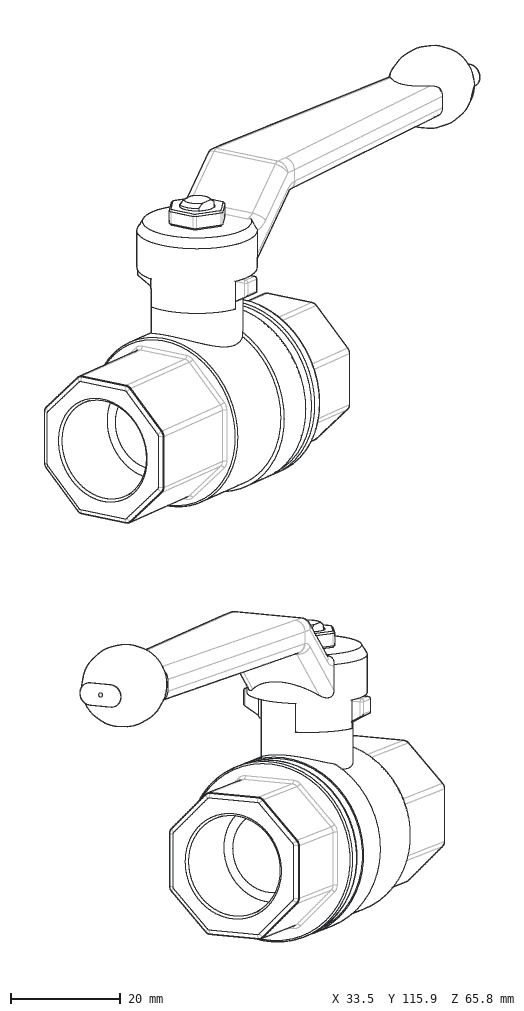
import cadquery as cq
import math


housing_length = 60.9
octagon_flats = 26.4
octagon_edge_radius = 1.4
end_chamfer = 0.5
octagon_root_radius = 0.6
flange_diameter = 33.5
groove_diameter = 33.0
barrel_diameter = 32.0
flange_rear = 15.5
groove_start = 13.5
groove_full = 12.9
groove_end = 10.7
flange_front = 3.7
barrel_front = -10.5
barrel_chamfer = 0.3
bore_diameter = 15.0
thread_diameter = 18.6
thread_depth = 15.0
thread_chamfer = 0.5
neck_diameter = 16.8
neck_top = 27.0

lug_reach = 12.2
lug_width = 3.7
lug_tip_bottom = 24.0
lug_root_bottom = 21.9
lug_root_radius = 1.0
lug_tip_radius = 0.5

stem_diameter = 6.5
stem_tip_diameter = 4.9
stem_flats = 4.2
stem_top = 40.0
stem_chamfer_height = 0.7

hub_diameter = 22.0
hub_bottom = 21.7
hub_top = 35.8
hub_chamfer_radial = 1.0
hub_chamfer_height = 1.7
skirt_bore_diameter = 18.0
skirt_slot_x = 2.9
skirt_slot_y = 3.0
arm_thickness = 6.1
arm_top = 44.2
arm_end = 70.2
arm_bend = 15.8
arm_taper_start = 18.6
arm_root_bottom = 27.7
arm_width_at_hub = 17.5
arm_width_at_end = 12.5
arm_edge_radius = 2.0
arm_bend_radius = 1.2
arm_root_radius = 2.3
knob_diameter = 15.0
knob_length = 19.7
knob_top = 49.05
knob_tip = 85.4
badge_width = 8.3
badge_height = 4.2
badge_thickness = 0.1

nut_flats = 9.8
nut_height = 3.0
nut_edge_radius = 0.7
nut_chamfer = 0.3


def cylinder(diameter, bottom, top):
    """Upright cylinder about the stem axis."""
    return cq.Workplane("XY").workplane(offset=bottom).circle(diameter / 2).extrude(top - bottom)


def bore_cylinder(diameter, start, end):
    """Cylinder about the bore axis, from one Y position to another."""
    return cq.Workplane("XZ").workplane(offset=-end).circle(diameter / 2).extrude(end - start)


def make_octagon_bar():
    across_corners = octagon_flats / math.cos(math.pi / 8)
    bar = (
        cq.Workplane("XZ")
        .transformed(rotate=(0, 0, 22.5))
        .polygon(8, across_corners)
        .extrude(housing_length / 2, both=True)
        .edges("|Y")
        .fillet(octagon_edge_radius)
    )
    for end in ("<Y", ">Y"):
        bar = bar.faces(end).chamfer(end_chamfer)
    return bar


def make_barrel():
    """Round middle of the housing: grooved flange at the rear, plain barrel in front."""
    flange_radius = flange_diameter / 2
    groove_radius = groove_diameter / 2
    barrel_radius = barrel_diameter / 2
    return (
        cq.Workplane("XY")
        .moveTo(0, flange_rear)
        .lineTo(flange_radius - barrel_chamfer, flange_rear)
        .lineTo(flange_radius, flange_rear - barrel_chamfer)
        .lineTo(flange_radius, groove_start)
        .lineTo(groove_radius, groove_full)
        .lineTo(groove_radius, groove_end)
        .lineTo(flange_radius, groove_end)
        .lineTo(flange_radius, flange_front)
        .lineTo(barrel_radius, flange_front)
        .lineTo(barrel_radius, barrel_front + barrel_chamfer)
        .lineTo(barrel_radius - barrel_chamfer, barrel_front)
        .lineTo(0, barrel_front)
        .close()
        .revolve(360, (0, 0, 0), (0, 1, 0))
    )


def is_octagon_root(edge):
    """True for the edges where the octagonal ends meet the end faces of the barrel."""
    y = edge.Center().y
    on_end_face = min(abs(y - flange_rear), abs(y - barrel_front)) < 0.01
    return on_end_face and edge.Length() < octagon_flats / 2


def make_lug():
    """Stop lug on the -X side of the neck, flared at its root, with a sloped underside."""
    neck_radius = neck_diameter / 2
    half_width = lug_width / 2
    flare_y = half_width + lug_root_radius
    flare_x = -math.sqrt((neck_radius + lug_root_radius) ** 2 - flare_y**2)
    neck_share = neck_radius / (neck_radius + lug_root_radius)
    root_x = flare_x * neck_share
    root_y = flare_y * neck_share
    lug = (
        cq.Workplane("XY")
        .workplane(offset=lug_root_bottom)
        .moveTo(0, 0)
        .lineTo(root_x, root_y)
        .radiusArc((flare_x, half_width), -lug_root_radius)
        .lineTo(-lug_reach, half_width)
        .lineTo(-lug_reach, -half_width)
        .lineTo(flare_x, -half_width)
        .radiusArc((root_x, -root_y), -lug_root_radius)
        .close()
        .extrude(neck_top - lug_root_bottom)
    )
    underside = (
        cq.Workplane("XZ")
        .moveTo(-neck_radius, lug_root_bottom)
        .lineTo(-lug_reach, lug_root_bottom)
        .lineTo(-lug_reach, lug_tip_bottom)
        .close()
        .extrude(lug_width, both=True)
    )
    return lug.cut(underside).faces("<X or >Z").edges().fillet(lug_tip_radius)


def make_stem():
    """Double-D stem with a chamfered tip."""
    stem = cylinder(stem_diameter, 0, stem_top).faces(">Z").chamfer(
        stem_chamfer_height, (stem_diameter - stem_tip_diameter) / 2
    )
    flats = cq.Workplane("XY").box(stem_flats, stem_diameter, stem_top, centered=(True, True, False))
    return stem.intersect(flats)


def make_housing():
    housing = make_octagon_bar().union(make_barrel())
    roots = [edge for edge in housing.edges().vals() if is_octagon_root(edge)]
    housing = housing.newObject(roots).fillet(octagon_root_radius)

    neck = cylinder(neck_diameter, 0, neck_top)
    for turn in (0, 180):
        neck = neck.union(make_lug().rotate((0, 0, 0), (0, 0, 1), turn))
    housing = housing.union(neck).union(make_stem())

    half_length = housing_length / 2
    housing = housing.cut(bore_cylinder(bore_diameter, -half_length, half_length))
    housing = housing.cut(bore_cylinder(thread_diameter, -half_length, thread_depth - half_length))
    housing = housing.cut(bore_cylinder(thread_diameter, half_length - thread_depth, half_length))
    thread_mouths = housing.faces("<Y or >Y").edges("%CIRCLE")
    return thread_mouths.chamfer(thread_chamfer)


def is_long_arm_edge(edge):
    """True for the edges that run along the arm on both sides, above its flat root."""
    middle = edge.Center()
    direction = edge.tangentAt(0.5)
    beside = abs(middle.x) > arm_width_at_end / 4
    between_ends = 0 < middle.y < arm_end
    above_root = middle.z > arm_root_bottom
    lengthwise = abs(direction.x) < 0.5 and abs(direction.y) > 0.1
    return beside and between_ends and above_root and lengthwise


def make_arm():
    """Cranked arm, narrower towards the knob, with rounded edges."""
    arm_bottom = arm_top - arm_thickness
    lower_bend = arm_bend + arm_thickness * math.tan(math.pi / 8)
    upper_root = arm_bend - (arm_top - hub_top)
    lower_root = lower_bend - (arm_bottom - arm_root_bottom)
    half_width = arm_width_at_hub / 2
    half_end_width = arm_width_at_end / 2

    bar = (
        cq.Workplane("YZ")
        .moveTo(0, hub_top)
        .lineTo(upper_root, hub_top)
        .lineTo(arm_bend, arm_top)
        .lineTo(arm_end, arm_top)
        .lineTo(arm_end, arm_bottom)
        .lineTo(lower_bend, arm_bottom)
        .lineTo(lower_root, arm_root_bottom)
        .lineTo(0, arm_root_bottom)
        .close()
        .extrude(half_width, both=True)
    )
    bends = (
        (upper_root, hub_top, arm_root_radius),
        (arm_bend, arm_top, arm_bend_radius),
        (lower_bend, arm_bottom, arm_bend_radius),
    )
    for y, z, radius in bends:
        bar = bar.edges(cq.selectors.NearestToPointSelector((0, y, z))).fillet(radius)

    plan = (
        cq.Workplane("XY")
        .moveTo(-half_width, 0)
        .lineTo(-half_width, arm_taper_start)
        .lineTo(-half_end_width, arm_end)
        .lineTo(half_end_width, arm_end)
        .lineTo(half_width, arm_taper_start)
        .lineTo(half_width, 0)
        .close()
        .extrude(arm_top)
    )
    arm = bar.intersect(plan)
    long_edges = [edge for edge in arm.edges().vals() if is_long_arm_edge(edge)]
    return arm.newObject(long_edges).fillet(arm_edge_radius)


def make_knob():
    """Lemon-shaped knob about an axis along Y, with a thin oval badge on its tip."""
    center_y = knob_tip - knob_length / 2
    center_z = knob_top - knob_diameter / 2
    knob = (
        cq.Workplane("XY")
        .workplane(offset=center_z)
        .moveTo(0, center_y - knob_length / 2)
        .threePointArc((knob_diameter / 2, center_y), (0, knob_tip))
        .close()
        .revolve(360, (0, 0, 0), (0, 1, 0))
    )
    badge = (
        cq.Workplane("XZ", origin=(0, knob_tip, center_z))
        .slot2D(badge_width, badge_height)
        .extrude(badge_thickness)
    )
    return knob.union(badge)


def make_skirt_slots():
    """Two clearances in the skirt that let the stop lugs through."""
    reach = hub_diameter
    slot_height = neck_top - hub_bottom
    slot = (
        cq.Workplane("XY", origin=(-skirt_slot_x, skirt_slot_y, hub_bottom))
        .box(reach, reach, slot_height, centered=False)
        .translate((-reach, -reach, 0))
    )
    rear_slot = (
        cq.Workplane("XY", origin=(-skirt_slot_x, -skirt_slot_y, hub_bottom))
        .box(reach, reach, slot_height, centered=False)
    )
    return slot.union(rear_slot)


def make_lever():
    hub = cylinder(hub_diameter, hub_bottom, hub_top)
    hub = hub.faces(">Z").chamfer(hub_chamfer_height, hub_chamfer_radial)
    hub = hub.cut(make_skirt_slots())
    lever = hub.union(make_arm()).union(make_knob())
    lever = lever.cut(cylinder(skirt_bore_diameter, hub_bottom, neck_top))
    return lever.cut(make_stem())


def make_nut():
    nut = (
        cq.Workplane("XY")
        .workplane(offset=hub_top)
        .polygon(6, nut_flats / math.cos(math.pi / 6))
        .extrude(nut_height)
        .edges("|Z")
        .fillet(nut_edge_radius)
        .faces("<Z or >Z")
        .chamfer(nut_chamfer)
    )
    return nut.cut(cylinder(stem_diameter, hub_top, stem_top))


housing = make_housing()
lever = make_lever()
nut = make_nut()

result = cq.Compound.makeCompound([housing.val(), lever.val(), nut.val()])